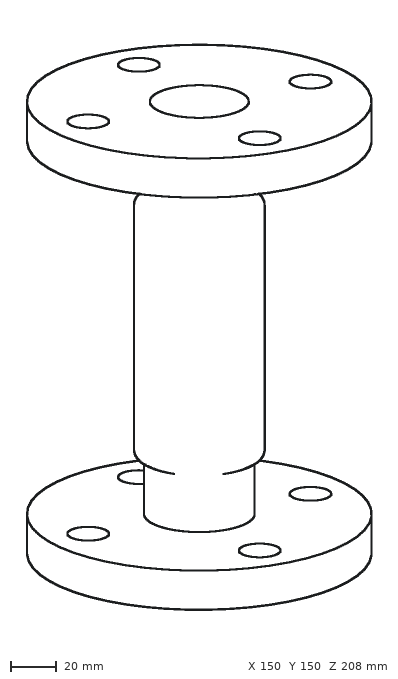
import cadquery as cq

length = 208.0
flange_diameter = 150.0
flange_thickness = 18.0

neck_diameter = 48.3
bore_diameter = 43.0
sleeve_diameter = 57.0
neck_end = 41.8
swell_length = 6.0

bolt_circle_diameter = 110.0
bolt_hole_diameter = 18.0
bolt_count = 4
first_bolt_angle = 45.0

neck_radius = neck_diameter / 2
sleeve_radius = sleeve_diameter / 2
swell_middle_radius = (neck_radius + sleeve_radius) / 2
swell_middle = neck_end + swell_length / 2
sleeve_start = neck_end + swell_length
half_length = length / 2


def make_half_pipe():
    """Solid lower half of the pipe, from the bottom end face up to mid-length."""
    return (
        cq.Workplane("XZ")
        .lineTo(neck_radius, 0)
        .lineTo(neck_radius, neck_end)
        .tangentArcPoint((swell_middle_radius, swell_middle), relative=False)
        .tangentArcPoint((sleeve_radius, sleeve_start), relative=False)
        .lineTo(sleeve_radius, half_length)
        .lineTo(0, half_length)
        .close()
        .revolve(360, (0, 0, 0), (0, 1, 0))
    )


def make_flange():
    """Bottom flange with its ring of bolt holes; the bore is cut later."""
    disc = cq.Workplane("XY").circle(flange_diameter / 2).extrude(flange_thickness)
    bolt_holes = (
        cq.Workplane("XY")
        .polarArray(bolt_circle_diameter / 2, first_bolt_angle, 360, bolt_count)
        .circle(bolt_hole_diameter / 2)
        .extrude(flange_thickness)
    )
    return disc.cut(bolt_holes)


lower_half = make_half_pipe().union(make_flange())
upper_half = lower_half.mirror("XY", (0, 0, half_length))
bore = cq.Workplane("XY").circle(bore_diameter / 2).extrude(length)

result = lower_half.union(upper_half).cut(bore)